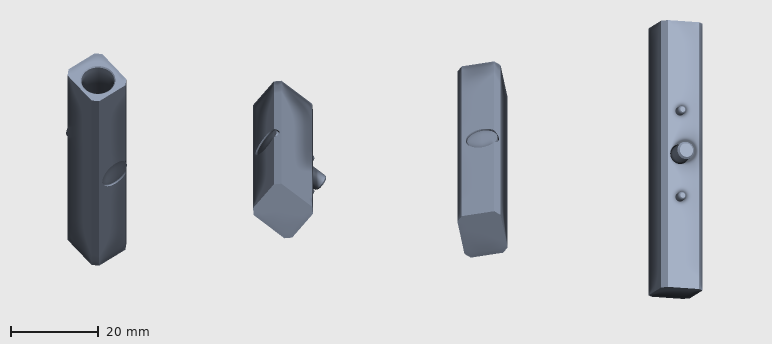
import cadquery as cq
import math

WIDTH = 11.5
DEPTH = 10.0
HEIGHT = 62.0
CORNER_CHAMFER = 1.25

BORE_DIAMETER = 7.5
BORE_MOUTH_CHAMFER = 0.25
BORE_LENGTH = 19.85
BORE_X = WIDTH - DEPTH / 2
BORE_Y = -0.3

MOUNT_Y = 0.9
MOUNT_Z = HEIGHT / 2

PIN_RADIUS = 2.0 / 2
PIN_PROJECTION = 2.25
PIN_TIP_LENGTH = 0.8
PIN_OFFSET = 10.0

SCREW_DIAMETER = 4.0
SCREW_PROJECTION = 4.85
SCREW_TIP_CHAMFER = 0.45
HEAD_DIAMETER = 7.0
HEAD_LENGTH = 4.0
CLEARANCE = 0.5
HEAD_RECESS_DEPTH = 4.35
HEAD_SEAT_X = WIDTH - HEAD_RECESS_DEPTH


def cylinder_along_x(diameter, start_x, length):
    """Cylinder on the screw axis, running toward +X."""
    return (
        cq.Workplane("YZ", origin=(start_x, MOUNT_Y, MOUNT_Z))
        .circle(diameter / 2)
        .extrude(length)
    )


def make_bar():
    return (
        cq.Workplane("XY")
        .center(WIDTH / 2, 0)
        .rect(WIDTH, DEPTH)
        .extrude(HEIGHT)
        .edges("|Z")
        .chamfer(CORNER_CHAMFER)
    )


def make_bore():
    """Bore volume revolved about its axis, with a conical mouth."""
    radius = BORE_DIAMETER / 2
    return (
        cq.Workplane("XZ", origin=(BORE_X, BORE_Y, HEIGHT))
        .lineTo(radius + BORE_MOUTH_CHAMFER, 0)
        .lineTo(radius, -BORE_MOUTH_CHAMFER)
        .lineTo(radius, -BORE_LENGTH)
        .lineTo(0, -BORE_LENGTH)
        .close()
        .revolve(360, (0, 0), (0, 1))
    )


def make_locating_pin(z):
    """Pin revolved about an X axis, with a flat cut across its round tip."""
    shoulder_x = PIN_TIP_LENGTH - PIN_PROJECTION
    flat_radius = math.sqrt(PIN_RADIUS**2 - PIN_TIP_LENGTH**2)
    mid_angle = math.asin(PIN_TIP_LENGTH / PIN_RADIUS) / 2
    arc_middle = (
        shoulder_x - PIN_RADIUS * math.sin(mid_angle),
        PIN_RADIUS * math.cos(mid_angle),
    )
    return (
        cq.Workplane("XZ", origin=(0, MOUNT_Y, z))
        .lineTo(0, PIN_RADIUS)
        .lineTo(shoulder_x, PIN_RADIUS)
        .threePointArc(arc_middle, (-PIN_PROJECTION, flat_radius))
        .lineTo(-PIN_PROJECTION, 0)
        .close()
        .revolve(360, (0, 0), (1, 0))
    )


def make_housing():
    shank_hole = cylinder_along_x(SCREW_DIAMETER + CLEARANCE, 0, WIDTH)
    head_recess = cylinder_along_x(HEAD_DIAMETER + CLEARANCE, HEAD_SEAT_X, HEAD_RECESS_DEPTH)
    housing = make_bar().cut(make_bore()).cut(shank_hole).cut(head_recess)
    for side in (-1, 1):
        housing = housing.union(make_locating_pin(MOUNT_Z + side * PIN_OFFSET))
    return housing


def make_screw():
    shank = (
        cylinder_along_x(SCREW_DIAMETER, -SCREW_PROJECTION, SCREW_PROJECTION + HEAD_SEAT_X)
        .faces("<X")
        .chamfer(SCREW_TIP_CHAMFER)
    )
    head = cylinder_along_x(HEAD_DIAMETER, HEAD_SEAT_X, HEAD_LENGTH)
    return shank.union(head)


housing = make_housing()
screw = make_screw()

result = cq.Compound.makeCompound([housing.solids().val(), screw.solids().val()])